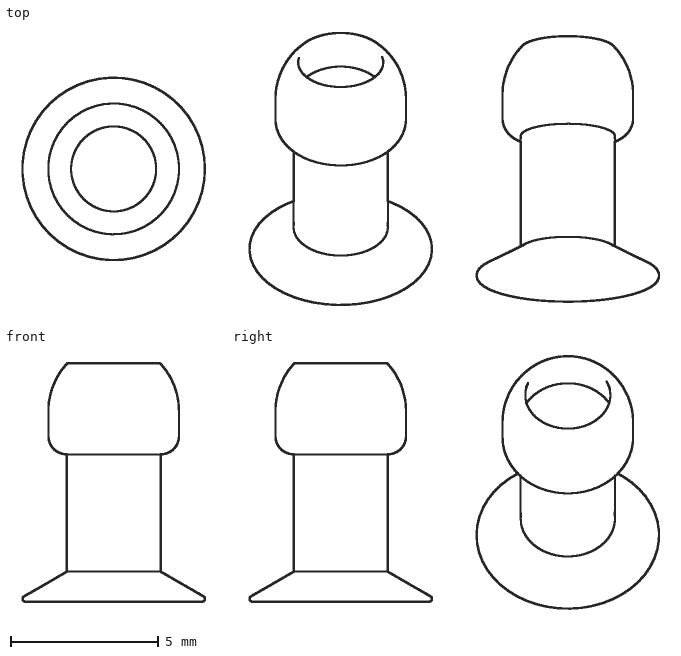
import cadquery as cq
import math

total_height = 8.1
cone_angle = math.radians(30)
sin_cone = math.sin(cone_angle)
cos_cone = math.cos(cone_angle)
tan_cone = math.tan(cone_angle)

foot_radius = 3.1
foot_rim_round = 0.1
stem_radius = 1.6

head_bottom = 5.0
head_radius = 2.22
head_bottom_round = head_radius - stem_radius
head_shoulder = 6.48
head_crown_round = 2.35
lip_round = 0.09

cavity_radius = 1.69
cavity_floor = head_bottom + head_bottom_round

plug_nose_edge_radius = 0.854
plug_flank_radius = 1.27
plug_flank_bottom = 6.88


def point_on_circle(center, radius, angle):
    """Point of a circle in the profile plane, its angle measured from the outward radius."""
    return (center[0] + radius * math.cos(angle), center[1] + radius * math.sin(angle))


def revolve_profile(profile):
    """Turn a closed half profile (radius, height) around the Z axis."""
    return profile.close().revolve(360, (0, 0, 0), (0, 1, 0))


def make_post():
    rim_center = (foot_radius - foot_rim_round, foot_rim_round)
    cone_normal = math.pi / 2 - cone_angle
    cone_bottom = point_on_circle(rim_center, foot_rim_round, cone_normal)
    cone_top_height = cone_bottom[1] + (cone_bottom[0] - stem_radius) * tan_cone
    profile = (
        cq.Workplane("XZ")
        .moveTo(0, 0)
        .lineTo(rim_center[0], 0)
        .threePointArc((foot_radius, rim_center[1]), cone_bottom)
        .lineTo(stem_radius, cone_top_height)
        .lineTo(stem_radius, head_bottom)
        .lineTo(0, head_bottom)
    )
    return revolve_profile(profile)


def make_head():
    lip_height = total_height - lip_round
    lip_rise = lip_height - head_shoulder
    crown_center = (head_radius - head_crown_round, head_shoulder)
    lip_center = (
        crown_center[0] + math.sqrt((head_crown_round - lip_round) ** 2 - lip_rise**2),
        lip_height,
    )
    crown_end_angle = math.asin(lip_rise / (head_crown_round - lip_round))

    lip_inset = cavity_radius - lip_center[0]
    cavity_round = (lip_rise**2 + lip_inset**2 - lip_round**2) / (2 * (lip_inset + lip_round))
    cavity_center = (cavity_radius - cavity_round, head_shoulder)
    cavity_end_angle = math.asin(lip_rise / (cavity_round + lip_round))

    bottom_round_center = (stem_radius, head_bottom + head_bottom_round)
    profile = (
        cq.Workplane("XZ")
        .moveTo(0, head_bottom)
        .lineTo(bottom_round_center[0], head_bottom)
        .threePointArc(
            point_on_circle(bottom_round_center, head_bottom_round, -math.pi / 4),
            (head_radius, bottom_round_center[1]),
        )
        .lineTo(head_radius, head_shoulder)
        .threePointArc(
            point_on_circle(crown_center, head_crown_round, crown_end_angle / 2),
            point_on_circle(crown_center, head_crown_round, crown_end_angle),
        )
        .threePointArc(
            (lip_center[0], total_height),
            point_on_circle(lip_center, lip_round, math.pi + cavity_end_angle),
        )
        .threePointArc(
            point_on_circle(cavity_center, cavity_round, cavity_end_angle / 2),
            (cavity_radius, head_shoulder),
        )
        .lineTo(cavity_radius, cavity_floor)
        .lineTo(0, cavity_floor)
    )
    return revolve_profile(profile)


def make_plug():
    nose_round = plug_nose_edge_radius / sin_cone
    flank_top = plug_flank_bottom + (plug_flank_radius - plug_nose_edge_radius) * tan_cone
    nose_center = (0, flank_top - nose_round * cos_cone)
    flank_normal = math.pi / 2 - cone_angle

    shoulder_round = (cavity_radius - plug_flank_radius) / (1 - sin_cone)
    shoulder_center = (cavity_radius - shoulder_round, plug_flank_bottom - shoulder_round * cos_cone)
    profile = (
        cq.Workplane("XZ")
        .moveTo(0, cavity_floor)
        .lineTo(cavity_radius, cavity_floor)
        .lineTo(cavity_radius, shoulder_center[1])
        .threePointArc(
            point_on_circle(shoulder_center, shoulder_round, flank_normal / 2),
            (plug_flank_radius, plug_flank_bottom),
        )
        .lineTo(plug_nose_edge_radius, flank_top)
        .threePointArc(
            point_on_circle(nose_center, nose_round, math.pi / 2 - cone_angle / 2),
            (0, nose_center[1] + nose_round),
        )
    )
    return revolve_profile(profile)


post = make_post()
head = make_head()
plug = make_plug()

result = cq.Compound.makeCompound([post.val(), head.val(), plug.val()])